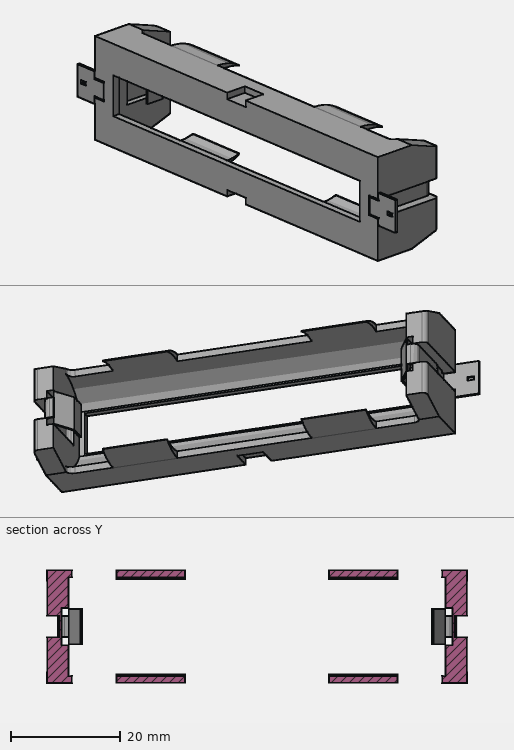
import cadquery as cq
import math

TOTAL_LENGTH = 86.5

HOUSING_LENGTH = 76.95
HOUSING_WIDTH = 20.7
HOUSING_HEIGHT = 15.05
RAIL_HEIGHT = 7.35
HALF_LENGTH = HOUSING_LENGTH / 2

WALL_THICKNESS = 4.0
WALL_TAPER_START = 8.4
WALL_TOP_WIDTH = 16.25
WALL_TOP_RADIUS = 0.9
WALL_FOOT_RADIUS = 1.3
CAVITY_LENGTH = HOUSING_LENGTH - 2 * WALL_THICKNESS
HALF_CAVITY = CAVITY_LENGTH / 2

CELL_AXIS_HEIGHT = 9.6
CELL_RADIUS = 9.25
FLOOR_THICKNESS = 1.5
WINDOW_LENGTH = 67.0
WINDOW_WIDTH = 8.1

CLIP_LENGTH = 12.6
CLIP_SPACING = 38.9
CLIP_TOP = 12.7

NOTCH_LENGTH = 5.0
NOTCH_HEIGHT = 4.4
NOTCH_DEPTH = 1.3

SHEET = 0.35
STRIP_WIDTH = 3.9
STRIP_FOOT_X = 36.4
STRIP_X = 36.6
STRIP_JOG_HEIGHT = 4.15
STRIP_BEND_RADIUS = 1.3
TONGUE_WIDTH = 3.4
TONGUE_HEIGHT = 1.2
TONGUE_BEND_RADIUS = 0.35
TAB_WIDTH = 6.5
TAB_THICKNESS = 0.5
TAB_INNER_X = 38.65
TAB_HOLE_LENGTH = 1.3
TAB_HOLE_WIDTH = 0.7
TAB_HOLE_X = 41.7
SPRING_WIDTH = 6.5
SPRING_LEG_X = 32.0
SPRING_KNEE_HEIGHT = 10.8
SPRING_ROOT_HEIGHT = 14.9
SPRING_END_HEIGHT = 7.2

POCKET_INNER_X = STRIP_FOOT_X - SHEET
POCKET_WIDTH = 3.9

RECESS_WIDTH = 6.75
RECESS_DEPTH = 1.3
RECESS_START = 4.4
RECESS_RADIUS = 0.7


def span(middle, length):
    """Start and end of a length centred on a middle value."""
    return middle - length / 2, middle + length / 2


def box(x_range, y_range, z_width):
    """Box between two X and two Y values, centred on Z."""
    (x0, x1), (y0, y1) = x_range, y_range
    return (
        cq.Workplane("XY")
        .box(x1 - x0, y1 - y0, z_width, centered=(False, False, True))
        .translate((x0, y0, 0))
    )


def bar_along_x(outline, length):
    """Extrude a list of (height, width) points along X, centred on X = 0."""
    plane = cq.Plane(origin=(-length / 2, 0, 0), xDir=(0, 1, 0), normal=(1, 0, 0))
    return cq.Workplane(plane).polyline(outline).close().extrude(length)


def cylinder_along_x(radius, axis_height, length, x_middle=0.0):
    plane = cq.Plane(origin=(x_middle - length / 2, axis_height, 0), xDir=(0, 1, 0), normal=(1, 0, 0))
    return cq.Workplane(plane).circle(radius).extrude(length)


def extrude_centred(outline, width):
    """Extrude a closed XY outline evenly to both sides of Z = 0."""
    return outline.extrude(width / 2, both=True)


def both_ends(shape):
    """A feature of the -X end together with its mirror image at the +X end."""
    return shape.union(shape.mirror("YZ"))


def housing_block():
    """Two side rails joined by taller end walls whose sides taper towards the top."""
    half_width = HOUSING_WIDTH / 2
    half_top = WALL_TOP_WIDTH / 2
    block = bar_along_x(
        [
            (0, -half_width),
            (WALL_TAPER_START, -half_width),
            (HOUSING_HEIGHT, -half_top),
            (HOUSING_HEIGHT, half_top),
            (WALL_TAPER_START, half_width),
            (0, half_width),
        ],
        HOUSING_LENGTH,
    )
    block = block.faces(">Y").edges("|Z").fillet(WALL_TOP_RADIUS)
    gap = box(span(0, CAVITY_LENGTH), (RAIL_HEIGHT, HOUSING_HEIGHT), HOUSING_WIDTH)
    gap = gap.faces("<Y").edges("|Z").fillet(WALL_FOOT_RADIUS)
    return block.cut(gap)


def cell_cavity():
    """Round trough for the cell, with a flat floor."""
    above_floor = box(span(0, CAVITY_LENGTH), (FLOOR_THICKNESS, 2 * HOUSING_HEIGHT), HOUSING_WIDTH)
    return cylinder_along_x(CELL_RADIUS, CELL_AXIS_HEIGHT, CAVITY_LENGTH).intersect(above_floor)


def clip_pair(x_middle):
    """Two facing clips; their outside is tangent to the housing sides at the rail tops."""
    outside = cylinder_along_x(HOUSING_WIDTH / 2, RAIL_HEIGHT, CLIP_LENGTH, x_middle)
    return outside.intersect(box(span(x_middle, CLIP_LENGTH), (RAIL_HEIGHT / 2, CLIP_TOP), HOUSING_WIDTH))


def strip_slot():
    """Slot over the -X wall whose floor follows the inner face of the strip, and the pocket below it."""
    floor_x = -STRIP_X + SHEET
    floor_y = HOUSING_HEIGHT - SHEET
    floor_radius = STRIP_BEND_RADIUS - SHEET
    slot = extrude_centred(
        cq.Workplane("XY")
        .moveTo(-HALF_LENGTH, 0)
        .lineTo(floor_x, 0)
        .lineTo(floor_x, floor_y - floor_radius)
        .radiusArc((floor_x + floor_radius, floor_y), floor_radius)
        .lineTo(-HALF_CAVITY, floor_y)
        .lineTo(-HALF_CAVITY, HOUSING_HEIGHT)
        .lineTo(-HALF_LENGTH, HOUSING_HEIGHT)
        .close(),
        STRIP_WIDTH,
    )
    return slot.union(box((-HALF_LENGTH, -POCKET_INNER_X), (0, STRIP_JOG_HEIGHT), POCKET_WIDTH))


def spring_recess():
    """Recess in the inner face of the -X wall, open at the top, into which the spring can flex."""
    inner_x = -HALF_CAVITY
    recess = box((inner_x - RECESS_DEPTH, inner_x), (RECESS_START, HOUSING_HEIGHT), RECESS_WIDTH)
    return recess.edges("<X and <Y").fillet(RECESS_RADIUS)


def build_housing():
    body = housing_block()
    for side in (-1, 1):
        body = body.union(clip_pair(side * CLIP_SPACING / 2))
    body = body.cut(cell_cavity())
    body = body.cut(box(span(0, WINDOW_LENGTH), (0, RAIL_HEIGHT), WINDOW_WIDTH))
    notch = box(span(0, NOTCH_LENGTH), (0, NOTCH_HEIGHT), NOTCH_DEPTH)
    for side in (-1, 1):
        body = body.cut(notch.translate((0, 0, side * (HOUSING_WIDTH - NOTCH_DEPTH) / 2)))
    return body.cut(both_ends(strip_slot())).cut(both_ends(spring_recess()))


def contact_tab():
    """Solder tab with its hole, and the narrow tongue that joins it to the strip."""
    tab = box((-TOTAL_LENGTH / 2, -TAB_INNER_X), (0, TAB_THICKNESS), TAB_WIDTH)
    tab = tab.cut(box(span(-TAB_HOLE_X, TAB_HOLE_LENGTH), (0, TAB_THICKNESS), TAB_HOLE_WIDTH))
    tongue = box((-TAB_INNER_X, -POCKET_INNER_X), (0, TAB_THICKNESS), TONGUE_WIDTH)
    riser = box((-STRIP_FOOT_X, -POCKET_INNER_X), (0, TONGUE_HEIGHT), TONGUE_WIDTH)
    tongue = tongue.union(riser).edges("|Z and >X and <Y").fillet(TONGUE_BEND_RADIUS)
    return tab.union(tongue)


def contact_strip():
    """Strip that climbs the slot and bends over the wall top to the cavity."""
    foot = box((-STRIP_FOOT_X, -POCKET_INNER_X), (TONGUE_HEIGHT, STRIP_JOG_HEIGHT), STRIP_WIDTH)
    inner_radius = STRIP_BEND_RADIUS - SHEET
    bend_y = HOUSING_HEIGHT - STRIP_BEND_RADIUS
    bend_x = -STRIP_X + STRIP_BEND_RADIUS
    end_x = -HALF_CAVITY
    climb = extrude_centred(
        cq.Workplane("XY")
        .moveTo(-STRIP_X, STRIP_JOG_HEIGHT)
        .lineTo(-STRIP_X, bend_y)
        .radiusArc((bend_x, HOUSING_HEIGHT), STRIP_BEND_RADIUS)
        .lineTo(end_x, HOUSING_HEIGHT)
        .lineTo(end_x, HOUSING_HEIGHT - SHEET)
        .lineTo(bend_x, HOUSING_HEIGHT - SHEET)
        .radiusArc((-STRIP_X + SHEET, bend_y), -inner_radius)
        .lineTo(-STRIP_X + SHEET, STRIP_JOG_HEIGHT)
        .close(),
        STRIP_WIDTH,
    )
    return foot.union(climb)


def contact_spring():
    """Wide spring leaf that slopes away from the wall and then runs straight down."""
    root_x = -HALF_CAVITY
    knee_x = -SPRING_LEG_X
    slope = math.atan2(SPRING_ROOT_HEIGHT - SPRING_KNEE_HEIGHT, knee_x - root_x)
    root_drop = SHEET / math.cos(slope)
    knee_drop = SHEET * math.tan((math.pi / 2 - slope) / 2)
    outline = cq.Workplane("XY").polyline(
        [
            (root_x, SPRING_ROOT_HEIGHT),
            (knee_x, SPRING_KNEE_HEIGHT),
            (knee_x, SPRING_END_HEIGHT),
            (knee_x - SHEET, SPRING_END_HEIGHT),
            (knee_x - SHEET, SPRING_KNEE_HEIGHT - knee_drop),
            (root_x, SPRING_ROOT_HEIGHT - root_drop),
        ]
    )
    return extrude_centred(outline.close(), SPRING_WIDTH)


def build_contact():
    """Contact at the -X end."""
    return contact_tab().union(contact_strip()).union(contact_spring())


housing = build_housing()
left_contact = build_contact()
contacts = [left_contact, left_contact.mirror("YZ")]

result = cq.Compound.makeCompound([housing.val(), *[each.val() for each in contacts]])